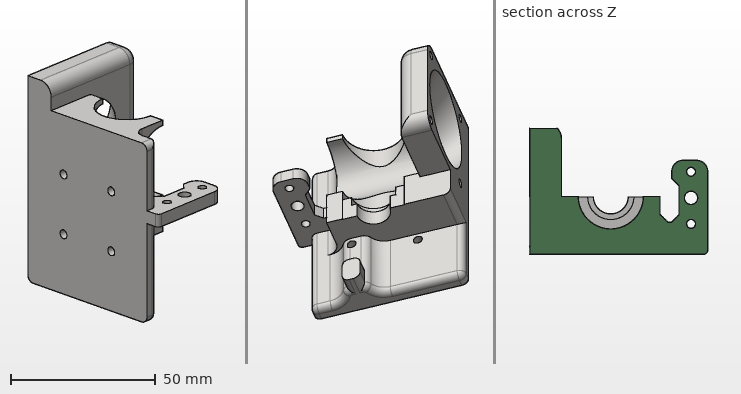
import cadquery as cq
import math

PLATE_WIDTH = 56.0
PLATE_HEIGHT = 67.0
PLATE_THICKNESS = 5.0
EDGE_RADIUS = 2.5
ROUND_CLEARANCE = 0.01
BACK_RADIUS = EDGE_RADIUS - ROUND_CLEARANCE

FLANGE_THICKNESS = 11.0
FAN_SIZE = 40.0
FLANGE_DEPTH = 45.0
FLANGE_TOP = 77.0
FLANGE_RADIUS = 5.0
RIM_RADIUS = FLANGE_RADIUS - ROUND_CLEARANCE
FLANGE_BOTTOM = FLANGE_TOP - FAN_SIZE
FAN_Y = FLANGE_DEPTH - FAN_SIZE / 2
FAN_Z = FLANGE_TOP - FAN_SIZE / 2
FAN_SCREW_PITCH = 32.0
FAN_SCREW_DIAMETER = 2.9
FAN_SCREW_DEPTH = 8.0

BLOCK_WIDTH = 45.0
BLOCK_DEPTH = 20.0
BLOCK_BOTTOM = 25.3
BLOCK_ROOT_RADIUS = 4.5
HOTEND_X = PLATE_WIDTH / 2
NECK_RADIUS = 6.0
COLLAR_RADIUS = 8.0
HEATSINK_RADIUS = 11.2
COLLAR_BOTTOM = 31.3
HEATSINK_BOTTOM = 35.0
CLAMP_GAP = 0.2

DUCT_INLET_RADIUS = 17.5
DUCT_OUTLET_RADIUS = 13.0
DUCT_OUTLET_Y = BLOCK_DEPTH
DUCT_OUTLET_Z = 52.0

PLATE_SCREW_DIAMETER = 3.2
PLATE_SCREW_PITCH = 22.4
PLATE_SCREW_Z = 33.6

ARM_LEFT = 49.0
ARM_RIGHT = 61.5
ARM_DEPTH = 32.5
ARM_BOTTOM = 37.5
ARM_THICKNESS = 4.8
ARM_TOP = ARM_BOTTOM + ARM_THICKNESS
ARM_RADIUS = 4.0
ARM_ROOT_X = 44.0
ARM_ROOT_Y = 11.15
NOTCH_DEPTH = 2.5
NOTCH_LENGTH = 15.0
FOOT_RADIUS = 1.5
ARM_HOLE_X = 55.7
ARM_HOLE_Y = 19.5
ARM_HOLE_PITCH = 9.0
ARM_CENTRE_HOLE_DIAMETER = 4.5
ARM_SCREW_DIAMETER = 3.0
GUSSET_SIZE = 2.7

RIB_TOP_Y = 10.15
RIB_X = 37.75
RIB_FLAT_WIDTH = 4.0
RIB_FLANK_ANGLE = math.radians(60)
RIB_KNEE_Y = 8.4
POST_WIDTH = 6.5
POST_DEPTH = 15.0
POST_HEIGHT = 10.0


def box(x0, x1, y0, y1, z0, z1):
    """Box between two opposite corners."""
    return cq.Workplane("XY").box(x1 - x0, y1 - y0, z1 - z0, centered=False).translate((x0, y0, z0))


def cylinder_z(x, y, radius, z0, z1):
    """Cylinder along Z."""
    return cq.Workplane("XY", origin=(x, y, z0)).circle(radius).extrude(z1 - z0)


def make_plate():
    """Plate with the S-flanked rib on its back; back edges are rounded at the sides and the foot."""
    cosine = math.cos(RIB_FLANK_ANGLE)
    sine = math.sin(RIB_FLANK_ANGLE)
    crest_radius = (RIB_TOP_Y - RIB_KNEE_Y) / (1 - cosine)
    root_radius = (RIB_KNEE_Y - PLATE_THICKNESS) / (1 - cosine)
    flat = RIB_FLAT_WIDTH / 2
    knee = flat + crest_radius * sine
    toe = knee + root_radius * sine
    half = RIB_FLANK_ANGLE / 2
    crest_x = flat + crest_radius * math.sin(half)
    crest_y = RIB_TOP_Y - crest_radius * (1 - math.cos(half))
    root_x = toe - root_radius * math.sin(half)
    root_y = PLATE_THICKNESS + root_radius * (1 - math.cos(half))
    left = -RIB_X
    right = PLATE_WIDTH - RIB_X
    plate = (
        cq.Workplane("XY", origin=(RIB_X, 0, 0))
        .moveTo(left, 0)
        .lineTo(left, PLATE_THICKNESS)
        .lineTo(-toe, PLATE_THICKNESS)
        .threePointArc((-root_x, root_y), (-knee, RIB_KNEE_Y))
        .threePointArc((-crest_x, crest_y), (-flat, RIB_TOP_Y))
        .lineTo(flat, RIB_TOP_Y)
        .threePointArc((crest_x, crest_y), (knee, RIB_KNEE_Y))
        .threePointArc((root_x, root_y), (toe, PLATE_THICKNESS))
        .lineTo(right, PLATE_THICKNESS)
        .lineTo(right, 0)
        .close()
        .extrude(FLANGE_TOP)
    )
    plate = plate.edges("|Y and <Z").fillet(EDGE_RADIUS)
    plate = plate.edges(cq.NearestToPointSelector((0, PLATE_THICKNESS, PLATE_HEIGHT / 2))).fillet(BACK_RADIUS)
    outline = box(0, PLATE_WIDTH, 0, RIB_TOP_Y, 0, PLATE_HEIGHT)
    outline = outline.edges("|Y and >X and >Z").fillet(EDGE_RADIUS)
    return plate.intersect(outline)


def make_post():
    """Post standing off the foot of the rib."""
    left = RIB_X - POST_WIDTH / 2
    post = box(left, left + POST_WIDTH, 0, POST_DEPTH, 0, POST_HEIGHT)
    return post.edges("|Y").fillet(EDGE_RADIUS)


def make_block():
    """Block with a rounded lower left edge."""
    block = box(0, BLOCK_WIDTH, 0, BLOCK_DEPTH, BLOCK_BOTTOM, PLATE_HEIGHT)
    return block.edges("<X and <Z").fillet(EDGE_RADIUS)


def make_block_root():
    """Concave round between the right side of the block and the plate."""
    centre_x = BLOCK_WIDTH + BLOCK_ROOT_RADIUS
    centre_y = PLATE_THICKNESS + BLOCK_ROOT_RADIUS
    root = box(BLOCK_WIDTH, centre_x, PLATE_THICKNESS, centre_y, BLOCK_BOTTOM, PLATE_HEIGHT)
    return root.cut(cylinder_z(centre_x, centre_y, BLOCK_ROOT_RADIUS, BLOCK_BOTTOM, PLATE_HEIGHT))


def make_flange():
    """Fan wall with rounded back corners; its inner rim is rounded along the top and the back."""
    flange = box(0, FLANGE_THICKNESS, 0, FLANGE_DEPTH, 0, FLANGE_TOP)
    flange = flange.edges("|X and >Y and >Z").fillet(FLANGE_RADIUS)
    flange = flange.edges(">X and >Z").fillet(RIM_RADIUS)
    outline = box(0, FLANGE_THICKNESS, 0, FLANGE_DEPTH, FLANGE_BOTTOM, FLANGE_TOP)
    outline = outline.edges("|X and >Y and <Z").fillet(FLANGE_RADIUS)
    return flange.intersect(outline)


def make_arm():
    """Flat arm with a notch in its left side."""
    notch_x = ARM_LEFT + NOTCH_DEPTH
    notch_end = ARM_ROOT_Y + NOTCH_LENGTH
    arm = (
        cq.Workplane("XY", origin=(0, 0, ARM_BOTTOM))
        .moveTo(ARM_ROOT_X, 0)
        .lineTo(ARM_RIGHT, 0)
        .lineTo(ARM_RIGHT, ARM_DEPTH)
        .lineTo(ARM_LEFT, ARM_DEPTH)
        .lineTo(ARM_LEFT, notch_end)
        .lineTo(notch_x, notch_end - NOTCH_DEPTH)
        .lineTo(notch_x, ARM_ROOT_Y + NOTCH_DEPTH)
        .lineTo(ARM_LEFT, ARM_ROOT_Y)
        .lineTo(ARM_ROOT_X, ARM_ROOT_Y)
        .close()
        .extrude(ARM_THICKNESS)
    )
    arm = arm.edges("|Z and >Y").fillet(ARM_RADIUS)
    arm = arm.edges("|Z and >X and <Y").fillet(FOOT_RADIUS)
    for step in (-1, 0, 1):
        diameter = ARM_SCREW_DIAMETER if step else ARM_CENTRE_HOLE_DIAMETER
        hole_y = ARM_HOLE_Y + step * ARM_HOLE_PITCH
        arm = arm.cut(cylinder_z(ARM_HOLE_X, hole_y, diameter / 2, ARM_BOTTOM, ARM_TOP))
    return arm


def make_gusset():
    """Small wedge in the corner of arm and block, its top sloping down away from the arm."""
    wedge = (
        cq.Workplane("YZ", origin=(BLOCK_WIDTH, 0, 0))
        .moveTo(ARM_ROOT_Y, ARM_BOTTOM)
        .lineTo(ARM_ROOT_Y, ARM_TOP)
        .lineTo(ARM_ROOT_Y + GUSSET_SIZE, ARM_TOP - GUSSET_SIZE)
        .lineTo(ARM_ROOT_Y + GUSSET_SIZE, ARM_BOTTOM)
        .close()
        .extrude(GUSSET_SIZE)
    )
    triangle = (
        cq.Workplane("XY", origin=(0, 0, ARM_BOTTOM))
        .moveTo(BLOCK_WIDTH, ARM_ROOT_Y)
        .lineTo(BLOCK_WIDTH + GUSSET_SIZE, ARM_ROOT_Y)
        .lineTo(BLOCK_WIDTH, ARM_ROOT_Y + GUSSET_SIZE)
        .close()
        .extrude(ARM_THICKNESS)
    )
    return wedge.intersect(triangle)


def cut_hotend_bore(body):
    """Stepped half bore, its smaller steps set back from the clamp face."""
    bore = cylinder_z(HOTEND_X, BLOCK_DEPTH, NECK_RADIUS, BLOCK_BOTTOM, PLATE_HEIGHT)
    bore = bore.union(cylinder_z(HOTEND_X, BLOCK_DEPTH, COLLAR_RADIUS, COLLAR_BOTTOM, PLATE_HEIGHT))
    bore = bore.union(cylinder_z(HOTEND_X, BLOCK_DEPTH, HEATSINK_RADIUS, HEATSINK_BOTTOM, PLATE_HEIGHT))
    left = HOTEND_X - HEATSINK_RADIUS
    right = HOTEND_X + HEATSINK_RADIUS
    gap = box(left, right, BLOCK_DEPTH - CLAMP_GAP, BLOCK_DEPTH, BLOCK_BOTTOM, PLATE_HEIGHT)
    return body.cut(bore).cut(gap)


def cut_duct(body):
    """Tapered inlet through the flange and a straight passage through the block."""
    inlet = (
        cq.Workplane("YZ")
        .center(FAN_Y, FAN_Z)
        .circle(DUCT_INLET_RADIUS)
        .workplane(offset=FLANGE_THICKNESS)
        .center(DUCT_OUTLET_Y - FAN_Y, DUCT_OUTLET_Z - FAN_Z)
        .circle(DUCT_OUTLET_RADIUS)
        .loft(ruled=True)
    )
    passage = (
        cq.Workplane("YZ", origin=(FLANGE_THICKNESS, DUCT_OUTLET_Y, DUCT_OUTLET_Z))
        .circle(DUCT_OUTLET_RADIUS)
        .extrude(BLOCK_WIDTH + BLOCK_ROOT_RADIUS - FLANGE_THICKNESS)
    )
    return body.cut(inlet).cut(passage)


def cut_fan_screws(body):
    """Four blind screw holes in the fan face."""
    holes = (
        cq.Workplane("YZ", origin=(0, FAN_Y, FAN_Z))
        .rect(FAN_SCREW_PITCH, FAN_SCREW_PITCH, forConstruction=True)
        .vertices()
        .circle(FAN_SCREW_DIAMETER / 2)
        .extrude(FAN_SCREW_DEPTH)
    )
    return body.cut(holes)


def cut_plate_screws(body):
    """Four screw holes through the plate and everything behind it."""
    holes = (
        cq.Workplane("XZ", origin=(HOTEND_X, 0, PLATE_SCREW_Z))
        .rect(PLATE_SCREW_PITCH, PLATE_SCREW_PITCH, forConstruction=True)
        .vertices()
        .circle(PLATE_SCREW_DIAMETER / 2)
        .extrude(-BLOCK_DEPTH)
    )
    return body.cut(holes)


body = make_plate().union(make_block()).union(make_block_root()).union(make_flange())
body = cut_hotend_bore(body)
body = cut_duct(body)
body = body.union(make_post()).union(make_arm()).union(make_gusset())
body = cut_fan_screws(body)
result = cut_plate_screws(body)